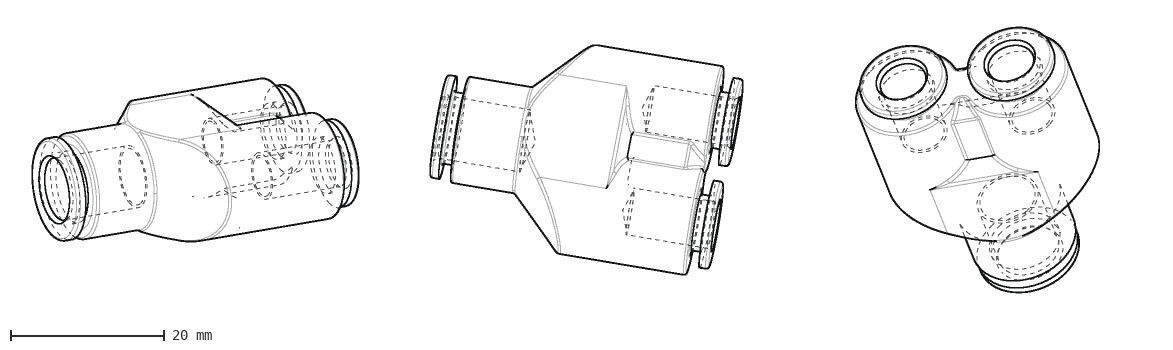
import cadquery as cq
import math

LENGTH = 37.9
BODY_RADIUS = 7.0
BRANCH_OFFSET = 7.25
COLLAR_LENGTH = 2.75
BODY_FRONT = COLLAR_LENGTH
BODY_BACK = LENGTH - COLLAR_LENGTH
END_ROUND = 0.3
BLEND = 0.5

EDGE_MARGIN = 0.2

SHOULDER_START = 11.18
SHOULDER_REACH = 9.48

WEB_HALF_HEIGHT = 4.5
RECESS_FRONT = 23.73
RECESS_WALL_ANGLE = 60.0
WEB_END = 32.85

MAIN_BORE = 4.1
BRANCH_BORE = 3.07
SLEEVE_WALL = 0.65
FLANGE_WIDTH = 2.7
FLANGE_THICKNESS = 1.2
FLANGE_ROUND = 0.38
SLEEVE_ROUND = 0.25
SEAT_WIDTH = 1.55
SEAT_HEIGHT = 0.2
MOUTH_WIDTH = 0.38
MOUTH_DEPTH = 0.65
BORE_DEPTH = 11.37
STOP_WIDTH = 0.38
BORE_CONE_ANGLE = 20.0


def cylinder(radius, x, start, end):
    """Cylinder along Y between two Y positions."""
    return cq.Workplane("XZ", origin=(x, start, 0)).circle(radius).extrude(start - end)


def near(value, target):
    return abs(value - target) < EDGE_MARGIN


def blend(solid, radius, picks_edge):
    """Round every edge whose centre the test accepts."""
    edges = [edge for edge in solid.edges().vals() if picks_edge(edge.Center())]
    return solid.newObject(edges).fillet(radius)


def body_block():
    """Twin branch block with its recesses, trimmed by the shoulder cone."""
    depth = BODY_RADIUS - WEB_HALF_HEIGHT
    foot = RECESS_FRONT + depth / math.tan(math.radians(RECESS_WALL_ANGLE))
    tip = WEB_HALF_HEIGHT - (BODY_BACK - WEB_END)
    web = (
        cq.Workplane("YZ", origin=(-BRANCH_OFFSET, 0, 0))
        .moveTo(BODY_FRONT, 0)
        .lineTo(BODY_FRONT, BODY_RADIUS)
        .lineTo(RECESS_FRONT, BODY_RADIUS)
        .lineTo(foot, WEB_HALF_HEIGHT)
        .lineTo(WEB_END, WEB_HALF_HEIGHT)
        .lineTo(BODY_BACK, tip)
        .lineTo(BODY_BACK, 0)
        .close()
        .extrude(2 * BRANCH_OFFSET)
    )
    web = blend(web, BLEND, lambda c: near(c.y, RECESS_FRONT) or near(c.y, WEB_END))
    block = web.union(web.mirror("XY"))
    for x in (-BRANCH_OFFSET, BRANCH_OFFSET):
        block = block.union(cylinder(BODY_RADIUS, x, BODY_FRONT, BODY_BACK))
    far_radius = BODY_RADIUS + SHOULDER_REACH
    envelope = (
        cq.Workplane("XY")
        .moveTo(0, BODY_FRONT)
        .lineTo(BODY_RADIUS, BODY_FRONT)
        .lineTo(BODY_RADIUS, SHOULDER_START)
        .lineTo(far_radius, SHOULDER_START + SHOULDER_REACH)
        .lineTo(far_radius, BODY_BACK)
        .lineTo(0, BODY_BACK)
        .close()
        .revolve(360, (0, 0, 0), (0, 1, 0))
    )
    return block.intersect(envelope)


def rounded_body():
    """Body with its shoulder, recess corners and end rims rounded."""
    shoulder_end = SHOULDER_START + BRANCH_OFFSET

    def on_shoulder(c):
        return SHOULDER_START - EDGE_MARGIN < c.y < shoulder_end

    def beside_web(c):
        return RECESS_FRONT + EDGE_MARGIN < c.y < BODY_BACK - EDGE_MARGIN and abs(c.x) > EDGE_MARGIN

    body = blend(body_block(), BLEND, on_shoulder)
    body = blend(body, BLEND, beside_web)
    body = blend(body, END_ROUND, lambda c: near(c.y, BODY_BACK))
    return blend(body, END_ROUND, lambda c: near(c.y, BODY_FRONT))


def collar(bore):
    """Collar about the Y axis: outer end at Y = 0, body face at Y = COLLAR_LENGTH."""
    sleeve = bore + SLEEVE_WALL
    flange = bore + FLANGE_WIDTH
    seat = bore + SEAT_WIDTH
    profile = (
        cq.Workplane("XY")
        .lineTo(flange - FLANGE_ROUND, 0)
        .radiusArc((flange, FLANGE_ROUND), -FLANGE_ROUND)
        .lineTo(flange, FLANGE_THICKNESS)
        .lineTo(sleeve + SLEEVE_ROUND, FLANGE_THICKNESS)
        .radiusArc((sleeve, FLANGE_THICKNESS + SLEEVE_ROUND), SLEEVE_ROUND)
        .lineTo(sleeve, COLLAR_LENGTH - SEAT_HEIGHT)
        .lineTo(seat, COLLAR_LENGTH)
        .lineTo(seat, COLLAR_LENGTH + SEAT_HEIGHT)
        .lineTo(0, COLLAR_LENGTH + SEAT_HEIGHT)
        .close()
    )
    return profile.revolve(360, (0, 0, 0), (0, 1, 0))


def tube_bore(bore):
    """Tool for the tube socket: flared mouth, bore, tube stop and conical end."""
    stop = bore - STOP_WIDTH
    cone_depth = stop * math.tan(math.radians(BORE_CONE_ANGLE))
    profile = (
        cq.Workplane("XY")
        .lineTo(bore + MOUTH_WIDTH, 0)
        .lineTo(bore, MOUTH_DEPTH)
        .lineTo(bore, BORE_DEPTH)
        .lineTo(stop, BORE_DEPTH)
        .lineTo(0, BORE_DEPTH + cone_depth)
        .close()
    )
    return profile.revolve(360, (0, 0, 0), (0, 1, 0))


def on_branch(shape, x):
    """Turn a shape made for the main port to face the back, on a branch axis."""
    return shape.rotate((0, 0, 0), (0, 0, 1), 180).translate((x, LENGTH, 0))


result = rounded_body().union(collar(MAIN_BORE)).cut(tube_bore(MAIN_BORE))
for branch_x in (-BRANCH_OFFSET, BRANCH_OFFSET):
    result = result.union(on_branch(collar(BRANCH_BORE), branch_x))
    result = result.cut(on_branch(tube_bore(BRANCH_BORE), branch_x))